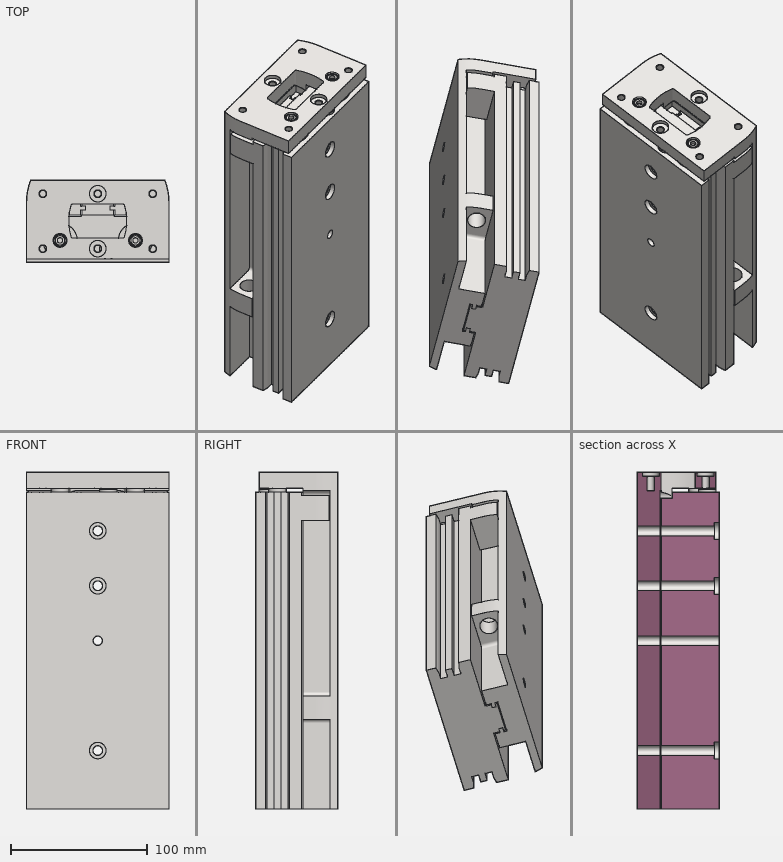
import cadquery as cq

LENGTH = 246.0
TOP = LENGTH / 2
BOTTOM = -LENGTH / 2
WIDTH = 104.0
HALF_WIDTH = WIDTH / 2
FRONT_Y = -30.0
BACK_Y = 30.0

BACK_HALF_WIDTH = 49.0
ARC_START_Y = 14.3
EDGE_INSET = HALF_WIDTH - BACK_HALF_WIDTH
EDGE_DEPTH = BACK_Y - ARC_START_Y
EDGE_RADIUS = (EDGE_DEPTH ** 2 + EDGE_INSET ** 2) / (2 * EDGE_INSET)

BODY_TOP = 108.5
BODY_BACK_Y = 3.5
FACE_PLATE_BACK_Y = -22.6
GROOVE_CENTER_Y = -14.0
GROOVE_HALF_MOUTH = GROOVE_CENTER_Y - FACE_PLATE_BACK_Y
GROOVE_HALF_WIDTH = 7.6
GROOVE_LIP_X = 47.5
GROOVE_FLOOR_X = 42.5
GROOVE_LAND_X = 48.5
GROOVE_LAND_HALF_WIDTH = 2.5
PAD_HALF_WIDTH = 12.0
RAIL_TOP = 104.0
RAIL_HALF_WIDTH = 11.5
RAIL_BACK_Y = 12.5
FIXED_STOP_TOP = 106.0
FIXED_STOP_BOTTOM = 87.5
FIXED_STOP_BACK_Y = 23.4
BORE_DIAMETER = 25.0
BORE_DEPTH = 5.0
PLUG_DIAMETER = 13.0
PLUG_HEIGHT = 2.0
PLUG_X = 7.6
PLUG_Y = -21.2

BACK_PLATE_FRONT_Y = 24.0
TABLE_FRONT_Y = 4.5
END_PLATE_FRONT_Y = -27.5
END_PLATE_BOTTOM = 111.2
CARRIAGE_TOP = 109.5
CARRIAGE_HALF_WIDTH = 24.5
CHANNEL_HALF_WIDTH = 12.5
CHANNEL_FLOOR_Y = 13.3
TONGUE_TIP_X = 9.0
TONGUE_FRONT_Y = 8.0
TONGUE_BACK_Y = 11.0
MOVING_STOP_TOP = -40.3
MOVING_STOP_BOTTOM = -57.5
STOP_FILLET = 2.7
END_FILLET = 4.5
END_POCKET_HALF_WIDTH = 21.0
END_POCKET_BOTTOM = 100.9
STOP_HOLE_DIAMETER = 13.0
STOP_HOLE_X = 40.5
STOP_CLEARANCE = 1.0
ROD_X = 27.5
ROD_Y = GROOVE_CENTER_Y
ROD_DIAMETER = 13.0

WINDOW_CORNER_X = 19.2
WINDOW_BULGE_X = 21.2
WINDOW_BACK_Y = 12.5
WINDOW_FRONT_Y = -12.3
WINDOW_FILLET = 1.2

MOUNT_PITCH = 40.0
MOUNT_Y = MOUNT_PITCH / 2
TAP_DIAMETER = 5.0
TAP_MOUTH_DIAMETER = 5.7
SPOTFACE_DIAMETER = 12.0
SPOTFACE_DEPTH = 3.0
SCREW_MOUTH_DIAMETER = 10.0
SCREW_POCKET_DIAMETER = 8.5
SCREW_POCKET_DEPTH = 5.0
SCREW_HEAD_DIAMETER = 7.0
SCREW_HEAD_RECESS = 0.7
SOCKET_DIAMETER = 4.0
SOCKET_DEPTH = 3.0

BOLT_HOLE_DIAMETER = 7.0
DOWEL_HOLE_DIAMETER = 6.6
BOLT_HEAD_DIAMETER = 12.0
BOLT_HEAD_DEPTH = 3.7
BOLT_HEIGHTS = (2 * MOUNT_PITCH, MOUNT_PITCH, -2 * MOUNT_PITCH)
DOWEL_HEIGHT = 0.0


def box(x_min, x_max, y_min, y_max, z_min, z_max):
    size = (x_max - x_min, y_max - y_min, z_max - z_min)
    return cq.Workplane("XY").box(*size, centered=False).translate((x_min, y_min, z_min))


def wide_box(half_width, y_min, y_max, z_min, z_max):
    """Block centred on X = 0."""
    return box(-half_width, half_width, y_min, y_max, z_min, z_max)


def cylinder(x, y, diameter, z_min, z_max):
    disc = cq.Workplane("XY", origin=(x, y, z_min)).circle(diameter / 2)
    return disc.extrude(z_max - z_min)


def countersink(x, y, mouth_diameter, hole_diameter, z_top):
    """45 degree cone that widens a hole of hole_diameter to mouth_diameter at z_top."""
    depth = (mouth_diameter - hole_diameter) / 2
    cone = cq.Solid.makeCone(hole_diameter / 2, mouth_diameter / 2, depth, cq.Vector(x, y, z_top - depth))
    return cq.Workplane(cone)


def both_sides(shape):
    """The shape together with its mirror image across the YZ plane."""
    return shape.union(shape.mirror("YZ"))


def round_back_edges(shape):
    """Trim a shape to the stage outline with its arched back edges."""
    arc_middle_y = ARC_START_Y + EDGE_DEPTH / 2
    arc_middle_x = HALF_WIDTH - EDGE_RADIUS + (EDGE_RADIUS ** 2 - (EDGE_DEPTH / 2) ** 2) ** 0.5
    outline = (
        cq.Workplane("XY", origin=(0, 0, BOTTOM))
        .moveTo(-HALF_WIDTH, FRONT_Y)
        .lineTo(HALF_WIDTH, FRONT_Y)
        .lineTo(HALF_WIDTH, ARC_START_Y)
        .threePointArc((arc_middle_x, arc_middle_y), (BACK_HALF_WIDTH, BACK_Y))
        .lineTo(-BACK_HALF_WIDTH, BACK_Y)
        .threePointArc((-arc_middle_x, arc_middle_y), (-HALF_WIDTH, ARC_START_Y))
        .close()
        .extrude(LENGTH)
    )
    return shape.intersect(outline)


def side_groove():
    """Double-channel groove with flared lips, on the -X side of the body."""
    half_profile = [
        (-HALF_WIDTH, GROOVE_HALF_MOUTH),
        (-GROOVE_LIP_X, GROOVE_HALF_WIDTH),
        (-GROOVE_FLOOR_X, GROOVE_HALF_WIDTH),
        (-GROOVE_FLOOR_X, GROOVE_LAND_HALF_WIDTH),
        (-GROOVE_LAND_X, GROOVE_LAND_HALF_WIDTH),
    ]
    other_half = [(x, -offset) for x, offset in reversed(half_profile)]
    profile = cq.Workplane("XY", origin=(0, GROOVE_CENTER_Y, BOTTOM))
    return profile.polyline(half_profile + other_half).close().extrude(LENGTH)


def guide_tongues():
    """Ribs of the carriage that run in the side grooves of the rail."""
    return both_sides(
        box(-CHANNEL_HALF_WIDTH, -TONGUE_TIP_X, TONGUE_FRONT_Y, TONGUE_BACK_Y, BOTTOM, CARRIAGE_TOP)
    )


def through_holes():
    """Holes along Y for bolts with sunk heads and for one dowel."""
    def drill(z, diameter, depth):
        plane = cq.Workplane("XZ", origin=(0, FRONT_Y, z))
        return plane.circle(diameter / 2).extrude(-depth)

    stage_depth = BACK_Y - FRONT_Y
    holes = drill(DOWEL_HEIGHT, DOWEL_HOLE_DIAMETER, stage_depth)
    for z in BOLT_HEIGHTS:
        holes = holes.union(drill(z, BOLT_HOLE_DIAMETER, stage_depth))
        holes = holes.union(drill(z, BOLT_HEAD_DIAMETER, BOLT_HEAD_DEPTH))
    return holes


def make_base():
    body = wide_box(HALF_WIDTH, FACE_PLATE_BACK_Y, BODY_BACK_Y, BOTTOM, BODY_TOP)
    body = body.cut(both_sides(side_groove()))
    face_plate = wide_box(HALF_WIDTH, FRONT_Y, FACE_PLATE_BACK_Y, BOTTOM, BODY_TOP)
    pad = wide_box(PAD_HALF_WIDTH, BODY_BACK_Y, TABLE_FRONT_Y, BOTTOM, BODY_TOP)
    base = body.union(face_plate).union(pad)

    rail = wide_box(RAIL_HALF_WIDTH, TABLE_FRONT_Y, RAIL_BACK_Y, BOTTOM, RAIL_TOP)
    base = base.union(rail.cut(guide_tongues()))

    fixed_stop = box(
        -HALF_WIDTH, -CARRIAGE_HALF_WIDTH - STOP_CLEARANCE,
        BODY_BACK_Y, FIXED_STOP_BACK_Y,
        FIXED_STOP_BOTTOM, FIXED_STOP_TOP,
    )
    base = base.union(round_back_edges(both_sides(fixed_stop)))

    base = base.union(cylinder(PLUG_X, PLUG_Y, PLUG_DIAMETER, BODY_TOP, BODY_TOP + PLUG_HEIGHT))
    for x in (-ROD_X, ROD_X):
        base = base.cut(cylinder(x, ROD_Y, BORE_DIAMETER, BODY_TOP - BORE_DEPTH, BODY_TOP))
    return base.cut(through_holes())


def carriage_fillet(z, radius, direction):
    """Fillet between the -X carriage wall and a face at height z; direction is +1 up, -1 down."""
    return (
        cq.Workplane("XZ", origin=(-CARRIAGE_HALF_WIDTH, BACK_PLATE_FRONT_Y, z))
        .lineTo(-radius, 0)
        .radiusArc((0, direction * radius), -direction * radius)
        .close()
        .extrude(BACK_PLATE_FRONT_Y - TABLE_FRONT_Y)
    )


def moving_stop():
    """Stop block with a vertical hole, on the -X side of the carriage."""
    block = box(
        -HALF_WIDTH, -CARRIAGE_HALF_WIDTH,
        TABLE_FRONT_Y, BACK_PLATE_FRONT_Y,
        MOVING_STOP_BOTTOM, MOVING_STOP_TOP,
    )
    block = block.union(carriage_fillet(MOVING_STOP_TOP, STOP_FILLET, 1))
    block = block.union(carriage_fillet(MOVING_STOP_BOTTOM, STOP_FILLET, -1))
    hole_y = (TABLE_FRONT_Y + BACK_PLATE_FRONT_Y) / 2
    return block.cut(
        cylinder(-STOP_HOLE_X, hole_y, STOP_HOLE_DIAMETER, MOVING_STOP_BOTTOM, MOVING_STOP_TOP)
    )


def end_pocket():
    """Widening of the rail channel under the end plate, with rounded upper corners."""
    pocket = wide_box(END_POCKET_HALF_WIDTH, TABLE_FRONT_Y, CHANNEL_FLOOR_Y, END_POCKET_BOTTOM, CARRIAGE_TOP)
    return pocket.edges("|Y and >Z").fillet(END_FILLET)


def window():
    """Opening with bulged sides, through the end plate and a little way into the carriage."""
    middle_y = (WINDOW_BACK_Y + WINDOW_FRONT_Y) / 2
    return (
        cq.Workplane("XY", origin=(0, 0, END_POCKET_BOTTOM))
        .moveTo(-WINDOW_CORNER_X, WINDOW_BACK_Y)
        .lineTo(WINDOW_CORNER_X, WINDOW_BACK_Y)
        .threePointArc((WINDOW_BULGE_X, middle_y), (WINDOW_CORNER_X, WINDOW_FRONT_Y))
        .lineTo(-WINDOW_CORNER_X, WINDOW_FRONT_Y)
        .threePointArc((-WINDOW_BULGE_X, middle_y), (-WINDOW_CORNER_X, WINDOW_BACK_Y))
        .close()
        .extrude(TOP - END_POCKET_BOTTOM)
        .edges("|Z")
        .fillet(WINDOW_FILLET)
    )


def tapped_hole(x, y, seat):
    """Hole through the end plate whose mouth is chamfered at the seat height."""
    mouth = countersink(x, y, TAP_MOUTH_DIAMETER, TAP_DIAMETER, seat)
    return mouth.union(cylinder(x, y, TAP_DIAMETER, CARRIAGE_TOP, seat))


def end_plate_holes():
    """Tapped corner holes, and spot-faced ones on the centre line."""
    seat = TOP - SPOTFACE_DEPTH
    holes = cq.Workplane("XY")
    for y in (-MOUNT_Y, MOUNT_Y):
        for x in (-MOUNT_PITCH, MOUNT_PITCH):
            holes = holes.add(tapped_hole(x, y, TOP))
        holes = holes.add(tapped_hole(0, y, seat))
        holes = holes.add(cylinder(0, y, SPOTFACE_DIAMETER, seat, TOP))
    return holes.combine()


def screw_recess(x):
    """Counterbore around a rod screw, leaving its socket head standing."""
    floor = TOP - SCREW_POCKET_DEPTH
    head_top = TOP - SCREW_HEAD_RECESS
    head = cylinder(x, ROD_Y, SCREW_HEAD_DIAMETER, floor, head_top)
    head = head.cut(cylinder(x, ROD_Y, SOCKET_DIAMETER, head_top - SOCKET_DEPTH, head_top))
    pocket = cylinder(x, ROD_Y, SCREW_POCKET_DIAMETER, floor, TOP)
    mouth = countersink(x, ROD_Y, SCREW_MOUTH_DIAMETER, SCREW_POCKET_DIAMETER, TOP)
    return pocket.union(mouth).cut(head)


def make_table():
    back_plate = wide_box(HALF_WIDTH, BACK_PLATE_FRONT_Y, BACK_Y, BOTTOM, TOP)
    end_plate = wide_box(HALF_WIDTH, END_PLATE_FRONT_Y, BACK_Y, END_PLATE_BOTTOM, TOP)
    end_step = wide_box(HALF_WIDTH, TABLE_FRONT_Y, BACK_Y, CARRIAGE_TOP, END_PLATE_BOTTOM)
    carriage = wide_box(CARRIAGE_HALF_WIDTH, TABLE_FRONT_Y, BACK_PLATE_FRONT_Y, BOTTOM, CARRIAGE_TOP)
    channel = wide_box(CHANNEL_HALF_WIDTH, TABLE_FRONT_Y, CHANNEL_FLOOR_Y, BOTTOM, CARRIAGE_TOP)
    carriage = carriage.cut(channel).union(guide_tongues()).cut(end_pocket())

    table = back_plate.union(end_plate).union(end_step).union(carriage)
    table = table.union(both_sides(moving_stop()))
    table = table.union(both_sides(carriage_fillet(CARRIAGE_TOP, END_FILLET, -1)))
    table = round_back_edges(table)

    table = table.cut(window()).cut(end_plate_holes())
    for x in (-ROD_X, ROD_X):
        table = table.union(cylinder(x, ROD_Y, ROD_DIAMETER, BODY_TOP - BORE_DEPTH, END_PLATE_BOTTOM))
        table = table.cut(screw_recess(x))
    return table.cut(through_holes())


base = make_base()
table = make_table()

result = cq.Compound.makeCompound([base.val(), table.val()])